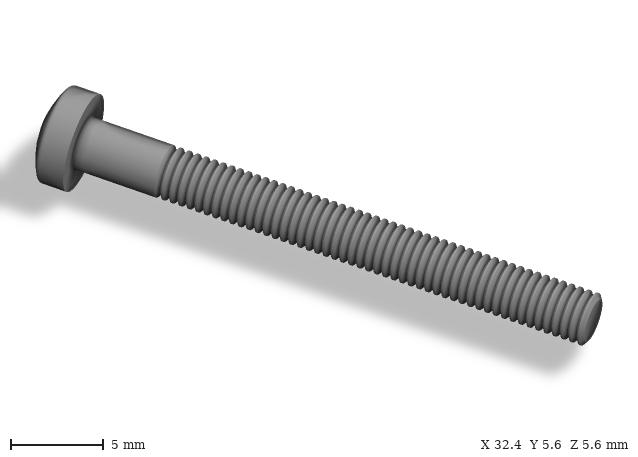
import cadquery as cq
import math

length = 30.0
shank_diameter = 3.0
shank_radius = shank_diameter / 2
underhead_fillet = 0.1

head_diameter = 5.6
head_height = 2.39
dome_radius = 5.1
rim_fillet = 0.25

pitch = 0.5
ring_count = 50
crest_width = 0.107
thread_depth = 0.28
root_radius = shank_radius - thread_depth
flank_length = (pitch - crest_width) / 2
first_root = length - ring_count * pitch
shank_end = first_root - flank_length

recess_depth = 1.6
wing_width = 0.66
wing_reach = 1.35
core_half_width = 0.57
core_diagonal_half_width = 0.63
core_point_slope = math.radians(28)
head_top = -head_height


def make_head():
    """Cylindrical head with a spherical top and a rounded rim."""
    cylinder = cq.Workplane("YZ").circle(head_diameter / 2).extrude(-head_height)
    dome = cq.Workplane("XY").sphere(dome_radius).translate((dome_radius - head_height, 0, 0))
    domed_head = cylinder.intersect(dome)
    return domed_head.edges("%CIRCLE and (not >X)").fillet(rim_fillet)


def make_shaft():
    """Plain shank flared into the head, followed by the ringed thread."""
    flare_radius = shank_radius + underhead_fillet
    profile = (
        cq.Workplane("XY")
        .moveTo(-underhead_fillet, 0)
        .lineTo(-underhead_fillet, flare_radius)
        .lineTo(0, flare_radius)
        .radiusArc((underhead_fillet, shank_radius), -underhead_fillet)
        .lineTo(shank_end, shank_radius)
        .lineTo(first_root, root_radius)
    )
    for ring in range(ring_count):
        root = first_root + ring * pitch
        profile = (
            profile.lineTo(root + flank_length, shank_radius)
            .lineTo(root + flank_length + crest_width, shank_radius)
            .lineTo(root + pitch, root_radius)
        )
    profile = profile.lineTo(length, 0).close()
    return profile.revolve(360, (0, 0, 0), (1, 0, 0))


def turn_about_axis(body, degrees):
    """Turn a body about the axis of the screw."""
    return body.rotate((0, 0, 0), (1, 0, 0), degrees)


def make_wing_pair():
    """Two opposite recess wings whose ends slope inward to the core."""
    floor = head_top + recess_depth
    return (
        cq.Workplane("XY")
        .moveTo(head_top, wing_reach)
        .lineTo(floor, core_half_width)
        .lineTo(floor, -core_half_width)
        .lineTo(head_top, -wing_reach)
        .close()
        .extrude(wing_width / 2, both=True)
    )


def make_core():
    """Eight-sided core of the recess with a conical floor."""
    corner_offset = core_diagonal_half_width * math.sqrt(2) - core_half_width
    corner_radius = math.hypot(core_half_width, corner_offset)
    point_length = corner_radius * math.tan(core_point_slope)
    floor = head_top + recess_depth
    pointed_core = (
        cq.Workplane("XY")
        .moveTo(head_top, 0)
        .lineTo(head_top, corner_radius)
        .lineTo(floor, corner_radius)
        .lineTo(floor + point_length, 0)
        .close()
        .revolve(360, (0, 0, 0), (1, 0, 0))
    )

    def square_bar(half_width):
        section = cq.Workplane("YZ", origin=(head_top, 0, 0)).rect(2 * half_width, 2 * half_width)
        return section.extrude(recess_depth + point_length)

    flats = square_bar(core_half_width)
    diagonals = turn_about_axis(square_bar(core_diagonal_half_width), 45)
    return pointed_core.intersect(flats).intersect(diagonals)


def make_recess():
    """Cross-shaped driver recess: four wings around the core."""
    wings = make_wing_pair()
    return wings.union(turn_about_axis(wings, 90)).union(make_core())


result = make_head().union(make_shaft()).cut(make_recess())